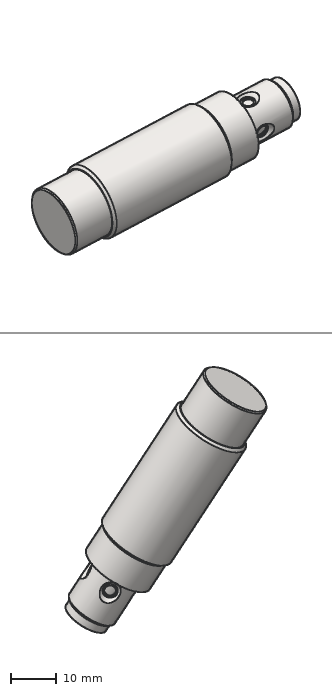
import cadquery as cq

length = 65.0

cap_radius = 8.1
barrel_radius = 9.0
collar_radius = 8.3
plug_radius = 6.01
tip_radius = 5.25

cap_length = 10.0
barrel_length = 33.5
collar_length = 7.5
tip_length = 2.1

cap_bevel = 0.3
barrel_bevel = 0.65
plug_bevel = 0.6

window_count = 4
window_from_tip = 10.5
countersink_radius = 2.65
window_ledge_radius = 1.7
window_hole_radius = 1.3
countersink_depth = 1.0
core_radius = 4.7

barrel_end = cap_length + barrel_length
collar_end = barrel_end + collar_length
plug_end = length - tip_length


def make_body():
    """Revolve the stepped half outline around the Y axis."""
    outline = [
        (0, 0),
        (cap_radius - cap_bevel, 0),
        (cap_radius, cap_bevel),
        (cap_radius, cap_length),
        (barrel_radius - barrel_bevel, cap_length),
        (barrel_radius, cap_length + barrel_bevel),
        (barrel_radius, barrel_end - barrel_bevel),
        (collar_radius, barrel_end),
        (collar_radius, collar_end),
        (plug_radius, collar_end),
        (plug_radius, plug_end - plug_bevel),
        (plug_radius - plug_bevel, plug_end),
        (tip_radius, plug_end),
        (tip_radius, length),
        (0, length),
    ]
    half_section = cq.Workplane("XY").polyline(outline).close()
    return half_section.revolve(360, (0, 0), (0, 1))


def make_window_cutter():
    """Countersink with a flat ledge and a short hole ending on the round inner core, facing +Z."""
    window_y = length - window_from_tip
    ledge_height = plug_radius - countersink_depth
    slope = (countersink_radius - window_ledge_radius) / countersink_depth
    overshoot = 0.65
    cutter_top = plug_radius + overshoot
    profile = [
        (0, 0),
        (window_hole_radius, 0),
        (window_hole_radius, ledge_height),
        (window_ledge_radius, ledge_height),
        (countersink_radius + slope * overshoot, cutter_top),
        (0, cutter_top),
    ]
    cutter = (
        cq.Workplane("XZ")
        .polyline(profile)
        .close()
        .revolve(360, (0, 0), (0, 1))
        .translate((0, window_y, 0))
    )
    core = cq.Workplane("XZ").circle(core_radius).extrude(-length)
    return cutter.cut(core)


result = make_body()
window_cutter = make_window_cutter()
for index in range(window_count):
    angle = index * 360 / window_count
    result = result.cut(window_cutter.rotate((0, 0, 0), (0, 1, 0), angle))